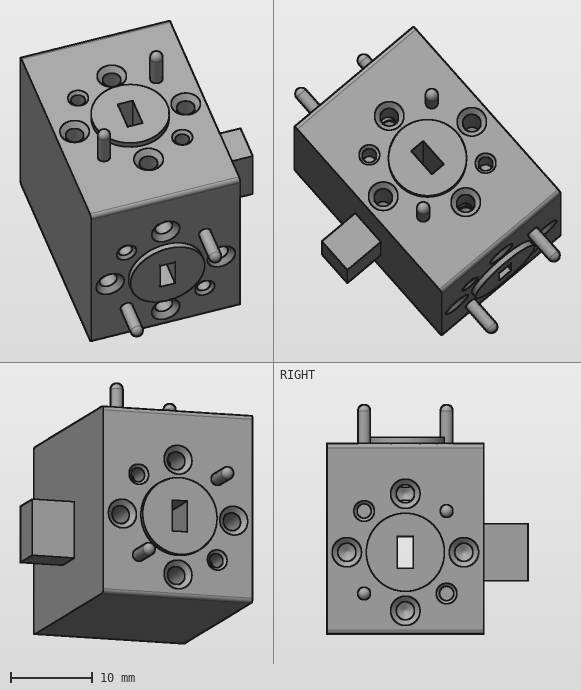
import cadquery as cq


overall_x = 37.0
overall_y = 24.55
overall_z = 28.0

body_x = 27.55
body_y = 19.15
edge_radius = 0.5
pin_reach = (overall_x - body_x) / 2
body_z = overall_z - pin_reach
side_axis_height = 10.0
top_z = body_z - side_axis_height

channel_wide = 3.85
channel_narrow = 1.92

boss_diameter = 9.55
boss_thickness = 0.75
screw_offset = 7.15
screw_diameter = 2.22
screw_mouth = 3.6
screw_mouth_depth = 0.7
screw_depth = 7.55
drill_point_depth = 0.65
pin_offset = 5.05
pin_diameter = 1.55
pin_hole_diameter = 1.75
pin_hole_mouth = 2.5
pin_hole_mouth_depth = 0.4
pin_hole_depth = 4.45

plug_x = 4.77
plug_y = overall_y - body_y
plug_z = 7.0

port_planes = [
    cq.Plane(origin=(-body_x / 2, 0, 0), xDir=(0, -1, 0), normal=(-1, 0, 0)),
    cq.Plane(origin=(body_x / 2, 0, 0), xDir=(0, 1, 0), normal=(1, 0, 0)),
    cq.Plane(origin=(0, 0, top_z), xDir=(0, 1, 0), normal=(0, 0, 1)),
]


def make_drilled_hole(diameter, depth, mouth_diameter, mouth_depth, point_depth=0):
    """Chamfered blind hole going down from local Z = 0, with an optional conical point."""
    profile = [
        (0, 0),
        (mouth_diameter / 2, 0),
        (diameter / 2, -mouth_depth),
        (diameter / 2, -depth),
        (0, -depth - point_depth),
    ]
    return cq.Workplane("XZ").polyline(profile).close().revolve(360, (0, 0), (0, 1))


def make_pin():
    """Round pin with a hemispherical tip, standing on local Z = 0."""
    radius = pin_diameter / 2
    shank_length = pin_reach - radius
    shank = cq.Workplane("XY").circle(radius).extrude(shank_length)
    tip = cq.Workplane("XY").sphere(radius).translate((0, 0, shank_length))
    return shank.union(tip)


def make_boss_and_pins():
    """Raised disc with two pins on one diagonal."""
    flange = cq.Workplane("XY").circle(boss_diameter / 2).extrude(boss_thickness)
    for side in (-1, 1):
        flange = flange.union(make_pin().translate((side * pin_offset, side * pin_offset, 0)))
    return flange


def make_flange_holes():
    """Four screw holes on the axes and two pin holes on the diagonal free of pins."""
    screw_hole = make_drilled_hole(
        screw_diameter, screw_depth, screw_mouth, screw_mouth_depth, drill_point_depth
    )
    pin_hole = make_drilled_hole(
        pin_hole_diameter, pin_hole_depth, pin_hole_mouth, pin_hole_mouth_depth
    )
    holes = cq.Workplane("XY")
    for side in (-1, 1):
        holes = holes.add(screw_hole.translate((side * screw_offset, 0, 0)))
        holes = holes.add(screw_hole.translate((0, side * screw_offset, 0)))
        holes = holes.add(pin_hole.translate((side * pin_offset, -side * pin_offset, 0)))
    return holes.combine()


def place_on_port(shape, plane):
    """Move a shape modelled on the XY plane onto a port face."""
    return cq.Workplane(obj=shape.val().moved(plane.location))


def make_channel():
    """Through channel along X joined by a branch from the top port."""
    through_length = body_x + 2 * boss_thickness
    through = cq.Workplane("XY").box(through_length, channel_narrow, channel_wide)
    branch = (
        cq.Workplane("XY")
        .rect(channel_wide, channel_narrow)
        .extrude(top_z + boss_thickness)
    )
    return through.union(branch)


body = (
    cq.Workplane("XY")
    .box(body_x, body_y, body_z)
    .translate((0, 0, top_z - body_z / 2))
    .edges("|Y")
    .fillet(edge_radius)
)
plug = (
    cq.Workplane("XY")
    .box(plug_x, plug_y, plug_z)
    .translate((0, (body_y + plug_y) / 2, 0))
)

result = body.union(plug)
boss_and_pins = make_boss_and_pins()
flange_holes = make_flange_holes()
for port_plane in port_planes:
    result = result.union(place_on_port(boss_and_pins, port_plane))
    result = result.cut(place_on_port(flange_holes, port_plane))
result = result.cut(make_channel())